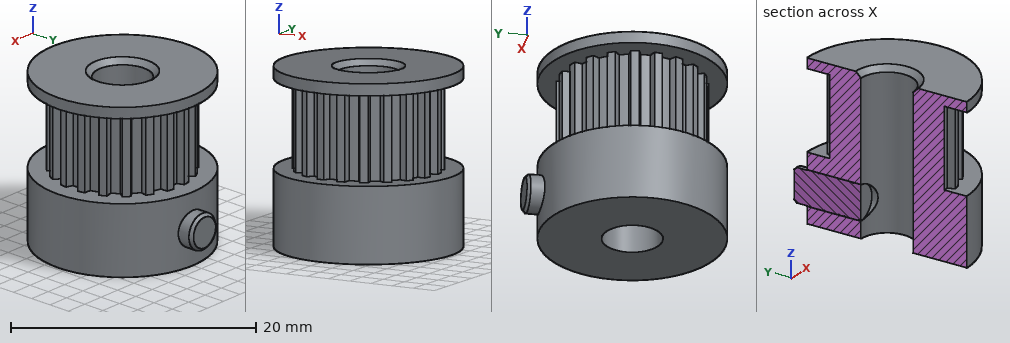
import cadquery as cq
import math

base_height = 6.5
toothed_height = 7.5
flange_height = 1.0
flange_bottom = base_height + toothed_height
pulley_height = flange_bottom + flange_height

rim_diameter = 15.5
bore_diameter = 5.0
bore_chamfer = 0.5

tooth_count = 20
tip_radius = 6.21
root_radius = 5.58
tip_width = 0.69
root_width = 0.8

screw_diameter = 3.25
screw_chamfer = 0.27
screw_height = base_height / 2
screw_inner_end = bore_diameter / 2
overall_depth = 16.75
screw_outer_end = overall_depth - rim_diameter / 2


def polar(radius, angle):
    """Point at a radius and an angle in radians from +X."""
    return (radius * math.cos(angle), radius * math.sin(angle))


def toothed_section():
    """Toothed drum: straight-sided grooves between teeth, with a groove centred on each axis."""
    pitch = 2 * math.pi / tooth_count
    tip_half_angle = math.asin(tip_width / 2 / tip_radius)
    root_half_angle = math.asin(root_width / 2 / root_radius)

    outline = cq.Workplane("XY", origin=(0, 0, base_height))
    outline = outline.moveTo(*polar(root_radius, -root_half_angle))
    for index in range(tooth_count):
        groove = index * pitch
        tooth = groove + pitch / 2
        next_groove = groove + pitch
        outline = outline.threePointArc(
            polar(root_radius, groove), polar(root_radius, groove + root_half_angle)
        )
        outline = outline.lineTo(*polar(tip_radius, tooth - tip_half_angle))
        outline = outline.threePointArc(
            polar(tip_radius, tooth), polar(tip_radius, tooth + tip_half_angle)
        )
        if index < tooth_count - 1:
            outline = outline.lineTo(*polar(root_radius, next_groove - root_half_angle))
    return outline.close().extrude(toothed_height)


def radial_cylinder(start, end):
    """Cylinder of the screw diameter running toward +Y at the screw height."""
    return (
        cq.Workplane("XZ", origin=(0, start, screw_height))
        .circle(screw_diameter / 2)
        .extrude(start - end)
    )


def make_pulley():
    base = cq.Workplane("XY").circle(rim_diameter / 2).extrude(base_height)
    flange = (
        cq.Workplane("XY", origin=(0, 0, flange_bottom))
        .circle(rim_diameter / 2)
        .extrude(flange_height)
    )
    body = base.union(toothed_section()).union(flange)

    bore = cq.Workplane("XY").circle(bore_diameter / 2).extrude(pulley_height)
    body = body.cut(bore)
    bore_rim = cq.selectors.RadiusNthSelector(0)
    body = body.faces(">Z").edges(bore_rim).chamfer(bore_chamfer)

    return body.cut(radial_cylinder(0, screw_outer_end))


def make_set_screw():
    """Headless screw with a flat inner end level with the bore and a chamfered outer end."""
    return radial_cylinder(screw_inner_end, screw_outer_end).faces(">Y").edges().chamfer(screw_chamfer)


pulley = make_pulley()
set_screw = make_set_screw()

result = cq.Compound.makeCompound([pulley.solids().val(), set_screw.solids().val()])